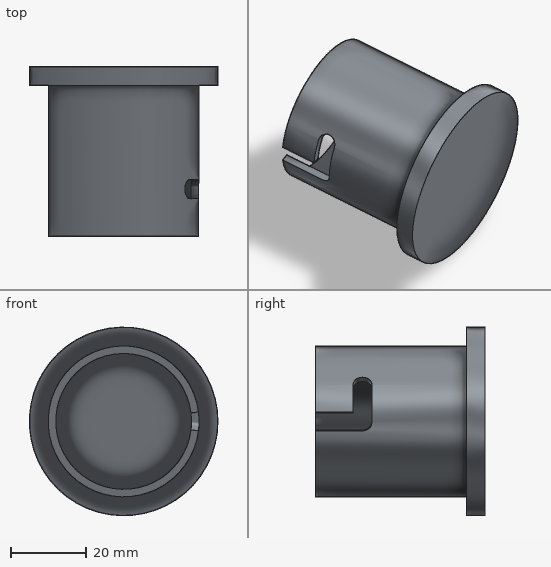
import cadquery as cq
import math

flange_diameter = 50.0
flange_thickness = 5.0
tube_diameter = 40.0
tube_length = 40.0
wall_thickness = 2.0
bore_depth = tube_length

slot_width = 5.0
slot_setback = 10.0
slot_reach = 10.0

tube_radius = tube_diameter / 2
bore_radius = tube_radius - wall_thickness
slot_half_width = slot_width / 2
slot_half_angle = math.degrees(math.asin(slot_half_width / tube_radius))
slot_turn = math.degrees(slot_reach / tube_radius)
slot_middle = slot_setback + slot_half_width
cut_margin = wall_thickness / 2
cut_inner_radius = bore_radius - cut_margin
cut_outer_radius = tube_radius + cut_margin


def cylinder(radius, start, length):
    """Solid cylinder along +Y whose first end face lies at Y = start."""
    plane = cq.Plane(origin=(0, start, 0), xDir=(1, 0, 0), normal=(0, 1, 0))
    return cq.Workplane(plane).circle(radius).extrude(length)


def sector_cut(start_angle, end_angle, start, length):
    """Ring sector between two angles from +X toward +Z, with radial side walls."""

    def ring_point(radius, angle):
        turn = math.radians(angle)
        return radius * math.cos(turn), -radius * math.sin(turn)

    middle_angle = (start_angle + end_angle) / 2
    plane = cq.Plane(origin=(0, start, 0), xDir=(1, 0, 0), normal=(0, 1, 0))
    return (
        cq.Workplane(plane)
        .moveTo(*ring_point(cut_inner_radius, start_angle))
        .lineTo(*ring_point(cut_outer_radius, start_angle))
        .threePointArc(ring_point(cut_outer_radius, middle_angle), ring_point(cut_outer_radius, end_angle))
        .lineTo(*ring_point(cut_inner_radius, end_angle))
        .threePointArc(ring_point(cut_inner_radius, middle_angle), ring_point(cut_inner_radius, start_angle))
        .close()
        .extrude(length)
    )


def round_cut(angle):
    """Round cut centred at an angle, narrowing inward so that its wall stays radial."""
    turn = math.radians(angle)
    outward = cq.Vector(math.cos(turn), 0, math.sin(turn))
    spread = math.tan(math.radians(slot_half_angle))
    plane = cq.Plane(
        origin=(outward * cut_inner_radius + cq.Vector(0, slot_middle, 0)).toTuple(),
        xDir=(0, 1, 0),
        normal=outward.toTuple(),
    )
    return (
        cq.Workplane(plane)
        .ellipse(slot_half_width, cut_inner_radius * spread)
        .workplane(offset=cut_outer_radius - cut_inner_radius)
        .ellipse(slot_half_width, cut_outer_radius * spread)
        .loft(ruled=True)
    )


result = (
    cylinder(tube_radius, 0, tube_length)
    .union(cylinder(flange_diameter / 2, tube_length, flange_thickness))
    .cut(cylinder(bore_radius, 0, bore_depth))
)

result = (
    result.cut(sector_cut(-slot_half_angle, slot_half_angle, 0, slot_middle))
    .cut(sector_cut(0, slot_turn, slot_setback, slot_width))
    .cut(round_cut(0))
    .cut(round_cut(slot_turn))
)